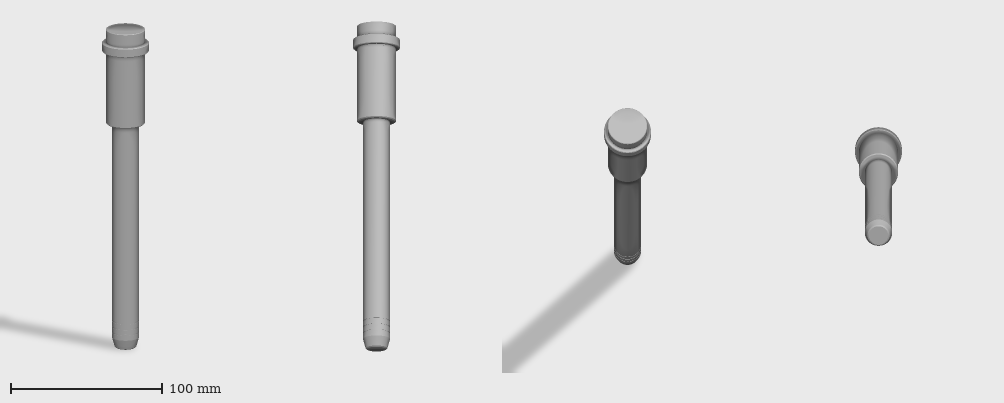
import cadquery as cq

total_length = 220.0
head_length = 65.1
collar_top_drop = 9.0
collar_height = 6.2
taper_length = 7.0

collar_diameter = 31.0
head_diameter = 26.0
pin_diameter = 18.0
tip_diameter = 14.0

collar_chamfer = 0.5
head_chamfer = 0.7
head_top_chamfer = 0.33
tip_chamfer = 0.7

relief_width = 0.9
relief_depth = 0.2

oil_groove_count = 3
oil_groove_pitch = 4.0
oil_groove_width = 0.9
oil_groove_depth = 0.2
lowest_oil_groove_z = 10.3

head_bottom = total_length - head_length
collar_top = total_length - collar_top_drop
collar_bottom = collar_top - collar_height


def cylinder(diameter, bottom, height):
    """Solid cylinder on the Z axis."""
    return cq.Workplane("XY").workplane(offset=bottom).circle(diameter / 2).extrude(height)


def make_pin():
    """Slender shank ending in a tapered, chamfered tip."""
    shank = cylinder(pin_diameter, taper_length, head_bottom - taper_length)
    taper = (
        cq.Workplane("XY")
        .circle(tip_diameter / 2)
        .workplane(offset=taper_length)
        .circle(pin_diameter / 2)
        .loft(ruled=True)
        .faces("<Z")
        .chamfer(tip_chamfer)
    )
    return shank.union(taper)


def make_head():
    """Thick upper cylinder with both end edges chamfered."""
    head = cylinder(head_diameter, head_bottom, head_length)
    head = head.faces("<Z").chamfer(head_chamfer)
    return head.faces(">Z").chamfer(head_top_chamfer)


def make_collar():
    """Retaining collar around the head, chamfered on both rims."""
    collar = cylinder(collar_diameter, collar_bottom, collar_height)
    return collar.faces("<Z or >Z").chamfer(collar_chamfer)


def make_groove(diameter, bottom, width, depth):
    """Ring that cuts one shallow groove into a cylinder of the given diameter."""
    floor = cylinder(diameter - 2 * depth, bottom, width)
    return cylinder(diameter, bottom, width).cut(floor)


result = make_pin().union(make_head()).union(make_collar())

relief_places = [
    (head_diameter, collar_top),
    (head_diameter, collar_bottom - relief_width),
    (pin_diameter, head_bottom - relief_width),
]
for diameter, bottom in relief_places:
    result = result.cut(make_groove(diameter, bottom, relief_width, relief_depth))

for index in range(oil_groove_count):
    bottom = lowest_oil_groove_z + index * oil_groove_pitch
    result = result.cut(make_groove(pin_diameter, bottom, oil_groove_width, oil_groove_depth))